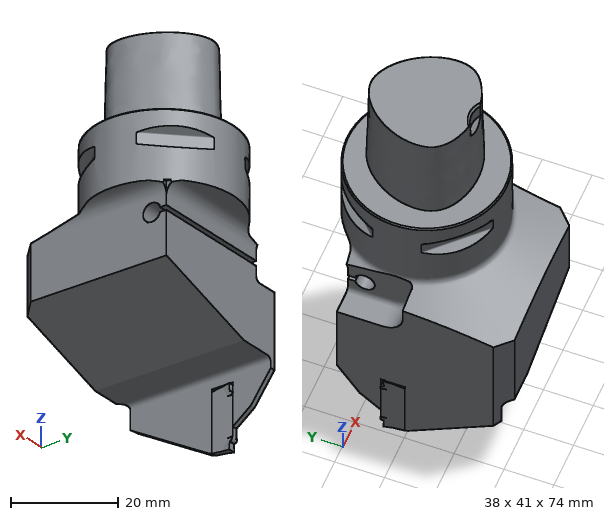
import cadquery as cq
import math


overall_length = 74

shank_height = 19.1
shank_base_radius = 11.0
shank_taper = 1 / 40
lobe_height = 0.7
lobe_count = 3
shank_point_count = 36

notch_radius = 4.4
notch_axis_y = -13.3
notch_depth = 3.4
notch_cone_angle = 45
notch_chamfer = 0.45

flange_diameter = 32.0
flange_radius = flange_diameter / 2
flange_height = 15.0
flange_chamfer = 0.3

groove_count = 4
groove_z = -5.9
groove_floor_height = 2.45
groove_floor_distance = 14.2
groove_wall_angle = 30
groove_corner_radius = 0.3

block_left = -21.8
block_right = 12.05
block_back = 9.5
block_front = -25.0
block_chamfer = 3.0
block_bottom = -38.3
block_bottom_end = -12.2
block_right_bottom = -30.6
flange_fillet = 2.95
cone_angle = 15
cone_top = -16.0
neck_fillet = 1.2

pocket_wall_x = -16.1
pocket_end_y = -3.8
pocket_floor = -24.3
pocket_corner_radius = 4.1
pocket_fillet = 1.1

hole_diameter = 4.0
hole_y = 6.1
hole_z = -20.6
slit_width = 1.0

blade_thickness = 1.2
blade_inner = block_left + blade_thickness
blade_middle = block_left + blade_thickness / 2
blade_fillet = 1.0
blade_back_bottom = -40.6
blade_back_corner = (4.9, -47.1)
blade_seat_corner_z = -50.25
blade_nose = (-4.9, -54.2)
blade_slope = 30

insert_back = 0.7
insert_front = -4.2
insert_top = -40.9
insert_bottom = shank_height - overall_length
insert_relief = 7
relief_rise = -insert_front * math.tan(math.radians(insert_relief))
insert_front_bottom = insert_bottom + relief_rise
insert_front_top = insert_top - relief_rise
rake_height = 1.7
rake_radius = insert_back
head_width = 1.6
head_height = 2.6
flank_foot = (-1.85, 0.2)
flank_end = (-0.5, head_height)


def box(x, y, z):
    """Box between the given pairs of X, Y and Z limits."""
    size = [high - low for low, high in (x, y, z)]
    return cq.Workplane("XY").box(*size, centered=False).translate((x[0], y[0], z[0]))


def extrude_along_x(outline, x_start, x_end):
    """Extrude an outline drawn on the YZ plane from x_start to x_end."""
    return outline.extrude(x_end - x_start).translate((x_start, 0, 0))


def shank_points(radius):
    """Points on the curve whose support is radius + lobe_height * cos(lobe_count * angle)."""
    points = []
    for index in range(shank_point_count):
        angle = 2 * math.pi * index / shank_point_count
        support = radius + lobe_height * math.cos(lobe_count * angle)
        slope = -lobe_count * lobe_height * math.sin(lobe_count * angle)
        toward_lobe = support * math.cos(angle) - slope * math.sin(angle)
        across = support * math.sin(angle) + slope * math.cos(angle)
        points.append((-across, toward_lobe))
    return points


def make_shank():
    top_radius = shank_base_radius - shank_taper * shank_height
    shank = (
        cq.Workplane("XY")
        .spline(shank_points(shank_base_radius), periodic=True).wire()
        .workplane(offset=shank_height)
        .spline(shank_points(top_radius), periodic=True).wire()
        .loft(ruled=True)
    )
    return shank.cut(make_notch())


def make_notch():
    """Drill-shaped cutter with a conical tip and a chamfered mouth."""
    shoulder_z = shank_height - notch_depth
    tip_z = shoulder_z - notch_radius * math.tan(math.radians(notch_cone_angle))
    return (
        cq.Workplane("XZ")
        .polyline([
            (0, tip_z),
            (notch_radius, shoulder_z),
            (notch_radius, shank_height - notch_chamfer),
            (notch_radius + notch_chamfer, shank_height),
            (0, shank_height),
        ])
        .close()
        .revolve(360, (0, 0, 0), (0, 1, 0))
        .translate((0, notch_axis_y, 0))
    )


def make_flange():
    flange = cq.Workplane("XY").circle(flange_radius).extrude(-flange_height)
    flange = flange.faces(">Z").edges().chamfer(flange_chamfer)
    for index in range(groove_count):
        angle = (index + 0.5) * 360 / groove_count
        flange = flange.cut(make_groove().rotate((0, 0, 0), (0, 0, 1), angle))
    return flange


def make_groove():
    """Groove cutter on the +X side, widening outward."""
    depth = flange_radius - groove_floor_distance
    floor_half = groove_floor_height / 2
    mouth_half = floor_half + depth * math.tan(math.radians(groove_wall_angle))
    return (
        cq.Workplane("XZ")
        .polyline([
            (groove_floor_distance, groove_z - floor_half),
            (flange_radius, groove_z - mouth_half),
            (flange_radius, groove_z + mouth_half),
            (groove_floor_distance, groove_z + floor_half),
        ])
        .close()
        .extrude(flange_radius, both=True)
        .faces("<X").edges("|Y").fillet(groove_corner_radius)
    )


def make_block():
    """Chamfered block with a sloping underside, the blade along its -X side and a conical top."""
    footprint = (
        box((block_left, block_right), (block_front, block_back), (insert_bottom, -flange_height))
        .edges("|Z and <Y").chamfer(block_chamfer)
    )
    block = footprint.intersect(make_block_side().union(make_blade()))
    for strip in make_flange_fillets():
        block = block.union(strip)
    return block.intersect(make_neck())


def make_block_side():
    """Side outline of the block and the blade root, extruded over the whole block depth."""
    side = (
        cq.Workplane("XZ")
        .moveTo(block_left, -flange_height)
        .lineTo(block_left, block_bottom - blade_fillet)
        .lineTo(blade_inner, block_bottom - blade_fillet)
        .radiusArc((blade_inner + blade_fillet, block_bottom), blade_fillet)
        .lineTo(block_bottom_end, block_bottom)
        .lineTo(block_right, block_right_bottom)
        .lineTo(block_right, -flange_height)
        .close()
    )
    return side.extrude(block_back - block_front).translate((0, block_back, 0))


def make_blade():
    nose_y, nose_z = blade_nose
    rise = (nose_y - block_front) * math.tan(math.radians(blade_slope))
    outline = (
        cq.Workplane("YZ")
        .polyline([
            (block_back, block_bottom),
            (block_back, blade_back_bottom),
            blade_back_corner,
            (insert_back, blade_seat_corner_z),
            (insert_back, insert_top),
            (insert_front, insert_top),
            (insert_front, insert_front_bottom),
            blade_nose,
            (block_front, nose_z + rise),
            (block_front, block_bottom),
        ])
        .close()
    )
    return extrude_along_x(outline, block_left, blade_inner)


def make_flange_fillets():
    """Concave strips joining the +X and +Y sides of the block to the flange underside."""
    right_strip = make_fillet_strip(block_back - block_front).translate(
        (block_right, block_front, -flange_height)
    )
    back_strip = (
        make_fillet_strip(block_right - block_left)
        .rotate((0, 0, 0), (0, 0, 1), 90)
        .translate((block_right, block_back, -flange_height))
    )
    corner = (
        make_fillet_profile()
        .revolve(90, (0, 0, 0), (0, 1, 0))
        .rotate((0, 0, 0), (0, 0, 1), 90)
        .translate((block_right, block_back, -flange_height))
    )
    return [right_strip, back_strip, corner]


def make_fillet_profile():
    """Corner of a wall at X = 0 and a ceiling at Z = 0, filled with a concave arc."""
    return (
        cq.Workplane("XZ")
        .lineTo(flange_fillet, 0)
        .radiusArc((0, -flange_fillet), -flange_fillet)
        .close()
    )


def make_fillet_strip(length):
    return make_fillet_profile().extrude(-length)


def make_neck():
    """Cone under the flange, blended into the flange cylinder by a concave fillet."""
    slope = math.radians(cone_angle)
    reach = 2 * flange_diameter
    tangent = neck_fillet * math.tan((math.pi / 2 - slope) / 2)
    cone_end_z = cone_top - (reach - flange_radius) * math.tan(slope)
    return (
        cq.Workplane("XZ")
        .moveTo(0, -flange_height)
        .lineTo(flange_radius, -flange_height)
        .lineTo(flange_radius, cone_top + tangent)
        .radiusArc(
            (flange_radius + tangent * math.cos(slope), cone_top - tangent * math.sin(slope)),
            -neck_fillet,
        )
        .lineTo(reach, cone_end_z)
        .lineTo(reach, insert_bottom)
        .lineTo(0, insert_bottom)
        .close()
        .revolve(360, (0, 0, 0), (0, 1, 0))
    )


def make_pocket():
    """Pocket cutter with one rounded corner and a fillet around its inner wall."""
    return (
        box((block_left, pocket_wall_x), (pocket_end_y, flange_radius), (pocket_floor, 0))
        .edges("|X and <Y and <Z").fillet(pocket_corner_radius)
        .faces(">X").edges("<Y or <Z").fillet(pocket_fillet)
    )


def make_clamp_hole():
    """Cross hole along X with a slit from it to the +Y side."""
    hole = cq.Workplane("YZ").center(hole_y, hole_z).circle(hole_diameter / 2).extrude(
        flange_diameter, both=True
    )
    slit = box(
        (-flange_diameter, flange_diameter),
        (hole_y, flange_diameter),
        (hole_z - slit_width / 2, hole_z + slit_width / 2),
    )
    return hole.union(slit)


def make_holder():
    block = make_block().cut(make_pocket()).cut(make_clamp_hole())
    return make_shank().union(make_flange()).union(block)


def insert_outline():
    """Insert outline from its upper to its lower cutting edge."""
    rake_end = rake_height + rake_radius
    return (
        cq.Workplane("YZ")
        .moveTo(0, insert_bottom)
        .lineTo(0, insert_bottom + rake_height)
        .radiusArc((insert_back, insert_bottom + rake_end), -rake_radius)
        .lineTo(insert_back, insert_top - rake_end)
        .radiusArc((0, insert_top - rake_height), -rake_radius)
        .lineTo(0, insert_top)
        .lineTo(insert_front, insert_front_top)
        .lineTo(insert_front, insert_front_bottom)
        .close()
    )


def make_flank_wedge():
    """Wedge for the lower head: as thick as the blade at the flank line, wider at the edge."""
    foot_y, foot_rise = flank_foot
    end_y, end_rise = flank_end
    run = math.hypot(end_y - foot_y, end_rise - foot_rise)
    along_y = (end_y - foot_y) / run
    along_z = (end_rise - foot_rise) / run
    edge_distance = -foot_y * along_z + foot_rise * along_y
    growth = (head_width - blade_thickness) / 2 / edge_distance
    reach = 2 * edge_distance
    half_base = blade_thickness / 2
    half_mouth = half_base + growth * reach
    flank_plane = cq.Plane(
        origin=(blade_middle, foot_y, insert_bottom + foot_rise),
        xDir=(1, 0, 0),
        normal=(0, along_y, along_z),
    )
    wedge = (
        cq.Workplane(flank_plane)
        .polyline([(-half_base, 0), (half_base, 0), (half_mouth, reach), (-half_mouth, reach)])
        .close()
        .extrude(2 * head_height, both=True)
    )
    head_space = box(
        (block_left - head_width, blade_inner + head_width),
        (insert_front, insert_back),
        (insert_bottom, insert_bottom + head_height),
    )
    return wedge.intersect(head_space)


def make_insert():
    plate = extrude_along_x(insert_outline(), block_left, blade_inner)
    overhang = (head_width - blade_thickness) / 2
    full = extrude_along_x(insert_outline(), block_left - overhang, blade_inner + overhang)
    lower_head = make_flank_wedge()
    upper_head = lower_head.mirror("XY", (0, 0, (insert_top + insert_bottom) / 2))
    return plate.union(full.intersect(lower_head)).union(full.intersect(upper_head))


holder = make_holder()
insert = make_insert()

result = cq.Compound.makeCompound([holder.solids().val(), insert.solids().val()])